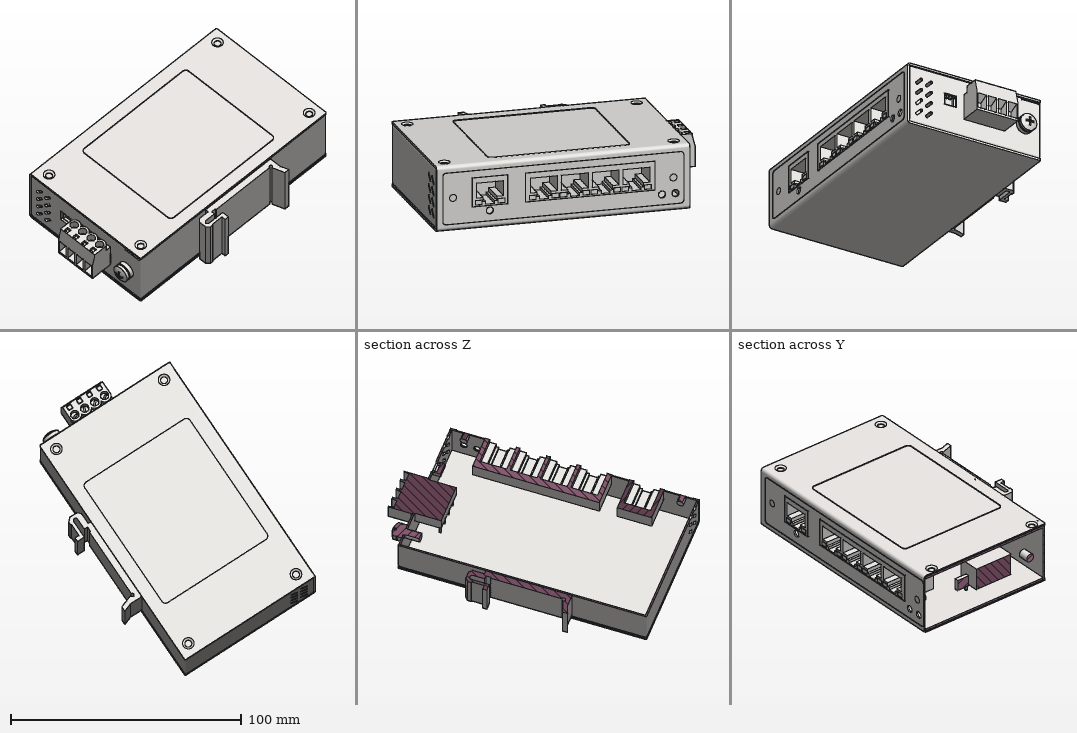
import cadquery as cq
import math


cover_depth = 67.9
cover_length = 114.7
cover_height = 29.5
sheet = 1.0
bend_radius = 1.6
cover_corner_radius = 0.5

top_label_x = 7.2
top_label_y = 24.8
top_label_width = 54.7
top_label_length = 64.4
top_label_depth = 0.4
top_label_radius = 1.9

side_label_margin_y = 2.8
side_label_margin_z = 3.0
side_label_depth = 0.3
side_label_radius = 1.5

countersink_diameter = 5.0
countersink_hole = 3.0
countersink_depth = 0.6
countersink_xs = (6.7, 62.6)
countersink_inset_y = 5.4

chassis_start = 1.3
chassis_end = 67.7
chassis_bend = 1.1
chassis_corner_radius = 0.5
notch_start = 58.2
notch_end = 67.2

vent_width = 1.3
vent_length = 4.4
vent_angle = 45
vent_pitch = 5.0
vent_x = 6.0
vent_z = 6.8
vent_columns = 2
vent_rows = 4

jack_bottom = 10.0
jack_height = 13.2
jack_depth = 16.3
single_jack_y = 90.5
single_jack_length = 16.1
quad_jack_y = 45.1
quad_jack_length = 58.6
port_pitch = 14.0
port_count = 4
port_depth = 12.6
port_top = 20.7
port_steps = ((12.2, 14.0), (6.3, 12.1), (4.0, 10.8))
jack_lamp_width = 3.0
jack_lamp_height = 2.0
jack_lamp_offset = 5.2
jack_lamp_depth = 0.1

lamp_hole = 3.1
lamp_z = 7.7
lamp_ys = (6.4, 12.6, single_jack_y)
pin_diameter = 3.1
pin_length = 3.8
pin_inset_y = 7.4
pin_z = 15.0

switch_x = 19.0
switch_z = 14.3
switch_width = 6.2
switch_height = 5.4
switch_recess = 1.0
switch_depth = 4.4
switch_bevel = 1.0
well_inset_x = 0.9
well_inset_z = 0.4
well_width = 4.3
well_depth = 1.3
lever_width = 0.9
lever_bottom = 18.5
lever_xs = (21.0, 22.9)

terminal_x = 39.1
way_pitch = 5.2
way_count = 4
terminal_width = 20.7
terminal_bottom = 9.4
terminal_top = 24.5
terminal_front = -11.1
terminal_top_front = -9.7
terminal_slant_top = 23.6
terminal_slant_bottom = 18.5
terminal_ledge = 21.5
terminal_screw_y = -4.0
terminal_boss_radius = 2.9
terminal_screw_hole = 3.6
terminal_screw_depth = 3.8
screw_slot_length = 3.3
screw_slot_width = 0.8
screw_slot_depth = 0.6
screw_slot_angles = (30, 45, 70, 15)
probe_size = 2.0
probe_y = -8.0
probe_depth = 1.3
entry_width = 4.1
entry_bottom = 10.6
entry_top = 17.6
entry_inner_width = 3.1
entry_inner_bottom = 11.8
entry_inner_top = 15.1
entry_depth = 3.8
ridge_width = 14.7
ridge_height = 0.4
lug_width = 0.4
lug_bottom = 11.0
lug_top = 17.1
lip_depth = 0.4

header_width = 19.4
header_bottom = 10.7
header_top = 21.4
header_end = 13.2
leg_size = 0.9
leg_y = 12.1
leg_bottom = 5.3

ground_x = 59.5
ground_z = 15.0
ground_head = 8.0
ground_shank = 4.0
ground_shank_length = 7.5
ground_rim = 3.9
ground_head_height = 5.3
ground_groove_y = 2.1
ground_groove = 0.4
cross_length = 4.0
cross_width = 0.8
cross_depth = 1.5

clip_width = 25.2
clip_bottom = 2.4
clip_end = 77.5
clip_face = 70.8
clip_relief_diameter = 1.5
clip_relief_y = 77.5

hook_back = 80.4
hook_bend_x = 73.6
hook_root_y = 77.1
hook_tip_outer = 81.7
hook_tip_inner = 79.3

loop_left = 69.2
loop_right = 75.8
loop_bottom = 33.6
loop_chamfer = 1.5
loop_start = 40.4
loop_slot_left = 71.9
loop_slot_right = 74.0
loop_slot_bottom = 36.2
loop_groove_x = 70.3
loop_groove_top = 43.8
loop_groove_bottom = 41.5
latch_arm_x = 75.5
latch_arm_bottom = 36.7
latch_top = 44.5
latch_bottom = 42.5


def box(x0, x1, y0, y1, z0, z1):
    """A box between two limits on each axis."""
    return cq.Workplane("XY").box(x1 - x0, y1 - y0, z1 - z0, centered=False).translate((x0, y0, z0))


def spaced(count, pitch):
    """Offsets of evenly spaced copies about their middle."""
    return [(i - (count - 1) / 2) * pitch for i in range(count)]


def rod_x(diameter, x0, x1, y, z):
    """A cylinder along X."""
    circle = cq.Workplane("YZ", origin=(x0, y, z)).circle(diameter / 2)
    return circle.extrude(x1 - x0)


def jack_block(y, length):
    """The plain outline of a jack, which also cuts its window in the cover."""
    return box(0, jack_depth, y - length / 2, y + length / 2, jack_bottom, jack_bottom + jack_height)


def pin_places():
    return [pin_inset_y, cover_length - pin_inset_y]


def make_pin(y):
    """A pin that ends flush with the floor of the label recess."""
    return rod_x(pin_diameter, side_label_depth, side_label_depth + pin_length, y, pin_z)


def make_cover():
    inner_top = cover_height - sheet
    cover = box(0, cover_depth, 0, cover_length, 0, cover_height)
    cover = cover.edges("|Y and <X").fillet(bend_radius)
    cover = cover.edges("|Z and >X").fillet(cover_corner_radius)
    cover = cover.cut(box(sheet, cover_depth, 0, cover_length, sheet, inner_top))

    top_label = box(
        top_label_x,
        top_label_x + top_label_width,
        top_label_y,
        top_label_y + top_label_length,
        cover_height - top_label_depth,
        cover_height,
    )
    cover = cover.cut(top_label.edges("|Z").fillet(top_label_radius))

    side_label = box(
        0,
        side_label_depth,
        side_label_margin_y,
        cover_length - side_label_margin_y,
        side_label_margin_z,
        cover_height - side_label_margin_z,
    )
    cover = cover.cut(side_label.edges("|X").fillet(side_label_radius))

    for x in countersink_xs:
        for y in (countersink_inset_y, cover_length - countersink_inset_y):
            hole = cq.Workplane("XY", origin=(x, y, inner_top)).circle(countersink_hole / 2).extrude(sheet)
            cone = (
                cq.Workplane("XY", origin=(x, y, cover_height - countersink_depth))
                .circle(countersink_hole / 2)
                .workplane(offset=countersink_depth)
                .circle(countersink_diameter / 2)
                .loft()
            )
            cover = cover.cut(hole).cut(cone)

    cover = cover.cut(jack_block(single_jack_y, single_jack_length))
    cover = cover.cut(jack_block(quad_jack_y, quad_jack_length))
    for y in lamp_ys:
        cover = cover.cut(rod_x(lamp_hole, 0, sheet, y, lamp_z))
    for y in pin_places():
        cover = cover.cut(make_pin(y))
    return cover


def make_chassis():
    """A tray closed by the cover on the jack side."""
    bottom = sheet
    top = cover_height - sheet
    chassis = box(chassis_start, chassis_end, 0, cover_length, bottom, top)
    chassis = chassis.edges("|X").fillet(chassis_bend)
    chassis = chassis.edges("|Z and >X").fillet(chassis_corner_radius)
    chassis = chassis.cut(
        box(chassis_start, chassis_end - sheet, sheet, cover_length - sheet, bottom + sheet, top - sheet)
    )
    chassis = chassis.cut(box(notch_start, notch_end, 0, sheet, top - chassis_bend, top))

    vents = (
        cq.Workplane("XZ")
        .rarray(vent_pitch, vent_pitch, vent_columns, vent_rows)
        .slot2D(vent_length, vent_width, vent_angle)
        .extrude(-cover_length)
    )
    vents_x = vent_x + (vent_columns - 1) * vent_pitch / 2
    vents_z = vent_z + (vent_rows - 1) * vent_pitch / 2
    chassis = chassis.cut(vents.translate((vents_x, 0, vents_z)))

    chassis = chassis.cut(switch_block(0))
    chassis = chassis.cut(header_block())
    return chassis.cut(ground_shank_rod())


def make_jack(y, length, ports):
    """A jack with stepped ports and two lamp windows below each port."""
    jack = jack_block(y, length)
    for offset in spaced(ports, port_pitch):
        port_y = y + offset
        for width, floor in port_steps:
            jack = jack.cut(
                box(0, port_depth, port_y - width / 2, port_y + width / 2, floor, port_top)
            )
        for side in (-1, 1):
            lamp_y = port_y + side * jack_lamp_offset
            lamp_floor = port_steps[-1][1]
            jack = jack.cut(
                box(
                    0,
                    jack_lamp_depth,
                    lamp_y - jack_lamp_width / 2,
                    lamp_y + jack_lamp_width / 2,
                    lamp_floor,
                    lamp_floor + jack_lamp_height,
                )
            )
    return jack


def switch_block(front):
    return box(
        switch_x, switch_x + switch_width, front, switch_depth, switch_z, switch_z + switch_height
    )


def make_switch():
    """A small block with a bevelled top edge, a well open at the top and two levers."""
    switch = switch_block(switch_recess)
    switch = switch.edges(">Z and <Y").chamfer(switch_bevel)
    well_x = switch_x + well_inset_x
    well_bottom = switch_z + well_inset_z
    well_floor = switch_recess + well_depth
    well_top = switch_z + switch_height
    well = box(well_x, well_x + well_width, switch_recess, well_floor, well_bottom, well_top)
    switch = switch.cut(well)
    for x in lever_xs:
        lever = box(
            x - lever_width / 2,
            x + lever_width / 2,
            switch_recess,
            well_floor,
            lever_bottom,
            well_top,
        )
        switch = switch.union(lever)
    return switch


def header_block():
    half = header_width / 2
    return box(terminal_x - half, terminal_x + half, 0, header_end, header_bottom, header_top)


def wire_entry(x):
    """A wire funnel that narrows from the front face to a square end."""
    mouth = entry_top - entry_bottom
    end = entry_inner_top - entry_inner_bottom
    mouth_mid = (entry_top + entry_bottom) / 2
    rise = (entry_inner_top + entry_inner_bottom) / 2 - mouth_mid
    return (
        cq.Workplane("XZ", origin=(x, terminal_front, mouth_mid))
        .rect(entry_width, mouth)
        .workplane(offset=-entry_depth)
        .center(0, rise)
        .rect(entry_inner_width, end)
        .loft(ruled=True)
    )


def make_terminal():
    left = terminal_x - terminal_width / 2
    right = terminal_x + terminal_width / 2
    way_xs = [terminal_x + offset for offset in spaced(way_count, way_pitch)]

    plug = (
        cq.Workplane("YZ", origin=(left, 0, 0))
        .moveTo(0, terminal_bottom)
        .lineTo(terminal_front, terminal_bottom)
        .lineTo(terminal_front, terminal_slant_bottom)
        .lineTo(terminal_top_front, terminal_slant_top)
        .lineTo(terminal_top_front, terminal_top)
        .lineTo(0, terminal_top)
        .close()
        .extrude(terminal_width)
    )

    step = box(left, right, terminal_screw_y, 0, terminal_ledge, terminal_top)
    for x in way_xs:
        boss = (
            cq.Workplane("XY", origin=(x, terminal_screw_y, terminal_ledge))
            .circle(terminal_boss_radius)
            .extrude(terminal_top - terminal_ledge)
        )
        step = step.cut(boss)
    plug = plug.cut(step)

    for x, angle in zip(way_xs, screw_slot_angles):
        screw_floor = terminal_top - terminal_screw_depth
        hole = cq.Workplane("XY", origin=(x, terminal_screw_y, screw_floor)).circle(terminal_screw_hole / 2)
        slot = (
            cq.Workplane("XY", origin=(x, terminal_screw_y, screw_floor - screw_slot_depth))
            .transformed(rotate=(0, 0, angle))
            .rect(screw_slot_length, screw_slot_width)
        )
        probe = cq.Workplane("XY", origin=(x, probe_y, terminal_top - probe_depth))
        probe = probe.rect(probe_size, probe_size)
        plug = plug.cut(hole.extrude(terminal_screw_depth))
        plug = plug.cut(slot.extrude(screw_slot_depth))
        plug = plug.cut(probe.extrude(probe_depth))
        plug = plug.cut(wire_entry(x))

    ridge_half = ridge_width / 2
    ridge_top = terminal_ledge + ridge_height
    plug = plug.union(
        box(terminal_x - ridge_half, terminal_x + ridge_half, -lip_depth, 0, terminal_ledge, ridge_top)
    )
    plug = plug.union(box(right, right + lug_width, -lip_depth, 0, lug_bottom, lug_top))

    plug = plug.union(header_block())
    half = leg_size / 2
    for x in way_xs:
        plug = plug.union(box(x - half, x + half, leg_y - half, leg_y + half, leg_bottom, header_bottom))
    return plug


def ground_shank_rod():
    circle = cq.Workplane("XZ", origin=(ground_x, 0, ground_z)).circle(ground_shank / 2)
    return circle.extrude(-ground_shank_length)


def make_ground_screw():
    """A domed screw head with a ring groove and a cross recess."""
    radius = ground_head / 2
    dome_rise = ground_head_height - ground_rim
    dome_radius = (radius**2 + dome_rise**2) / (2 * dome_rise)
    mid_angle = math.asin(radius / dome_radius) / 2
    mid_drop = dome_radius * (1 - math.cos(mid_angle))
    head = (
        cq.Workplane("XY")
        .moveTo(0, 0)
        .lineTo(radius, 0)
        .lineTo(radius, -ground_rim)
        .threePointArc(
            (dome_radius * math.sin(mid_angle), mid_drop - ground_head_height), (0, -ground_head_height)
        )
        .close()
        .revolve(360, (0, 0, 0), (0, 1, 0))
    )
    groove = (
        cq.Workplane("XZ", origin=(0, -ground_groove_y + ground_groove / 2, 0))
        .circle(radius)
        .circle(radius - ground_groove)
        .extrude(ground_groove)
    )
    cross = (
        cq.Workplane("XZ", origin=(0, cross_depth - ground_head_height, 0))
        .rect(cross_length, cross_width)
        .extrude(cross_depth)
    )
    head = head.cut(groove).cut(cross)
    head = head.cut(cross.rotate((0, 0, 0), (0, 1, 0), 90))
    return head.translate((ground_x, 0, ground_z)).union(ground_shank_rod())


def make_clip():
    """A rail clip with a fixed hook at one end and a springy loop at the other."""
    outline = [
        (chassis_end, hook_back),
        (hook_bend_x, hook_back),
        (clip_end, hook_tip_outer),
        (clip_end, hook_tip_inner),
        (clip_face, hook_root_y),
        (clip_face, loop_groove_top),
        (loop_groove_x, loop_groove_top),
        (loop_groove_x, loop_groove_bottom),
        (loop_slot_left, loop_groove_bottom),
        (loop_slot_left, loop_slot_bottom),
        (loop_slot_right, loop_slot_bottom),
        (loop_slot_right, latch_top),
        (clip_end, latch_top),
        (clip_end, latch_bottom),
        (latch_arm_x, latch_bottom),
        (latch_arm_x, latch_arm_bottom),
        (loop_right, latch_arm_bottom),
        (loop_right, loop_bottom),
        (loop_left, loop_bottom),
        (loop_left, loop_start),
        (chassis_end, loop_start),
    ]
    clip = cq.Workplane("XY").polyline(outline).close().extrude(clip_width)
    clip = clip.edges("|Z and <Y").chamfer(loop_chamfer)
    slot_end = cq.Workplane("XY").center((loop_slot_left + loop_slot_right) / 2, loop_slot_bottom)
    slot_end = slot_end.circle((loop_slot_right - loop_slot_left) / 2).extrude(clip_width)
    relief = cq.Workplane("XY").center(clip_face, clip_relief_y)
    relief = relief.circle(clip_relief_diameter / 2).extrude(clip_width)
    clip = clip.cut(slot_end).cut(relief)
    return clip.translate((0, 0, clip_bottom))


cover = make_cover()
chassis = make_chassis()
single_jack = make_jack(single_jack_y, single_jack_length, 1)
quad_jack = make_jack(quad_jack_y, quad_jack_length, port_count)
setting_switch = make_switch()
terminal = make_terminal()
ground_screw = make_ground_screw()
clip = make_clip()
pins = [make_pin(y) for y in pin_places()]

result = cq.Compound.makeCompound(
    [
        cover.val(),
        chassis.val(),
        single_jack.val(),
        quad_jack.val(),
        setting_switch.val(),
        terminal.val(),
        ground_screw.val(),
        clip.val(),
        *[pin.val() for pin in pins],
    ]
)